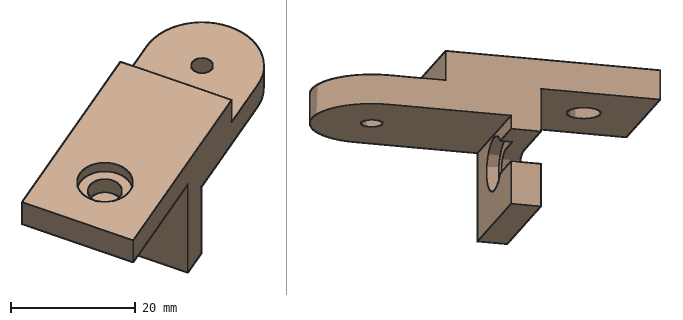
import cadquery as cq

width = 20.0
length = 55.5
height = 25.0
plate_thickness = 5.0
end_radius = width / 2

upper_length = 35.95
upper_bottom = height - plate_thickness
lower_bottom = upper_bottom - plate_thickness

leg_front = 20.0
leg_back = leg_front + plate_thickness

bolt_diameter = 5.5
counterbore_diameter = 9.0
counterbore_depth = 2.0
bolt_y = 10.0
pivot_diameter = 3.5
pivot_y = length - end_radius
slot_z = 10.0


def box(y_start, y_end, z_start, z_end):
    """Full-width block centred on X = 0."""
    return (
        cq.Workplane("XY")
        .box(width, y_end - y_start, z_end - z_start, centered=(True, False, False))
        .translate((0, y_start, z_start))
    )


def vertical_cylinder(diameter, y, z_start, z_end):
    return (
        cq.Workplane("XY", origin=(0, y, z_start))
        .circle(diameter / 2)
        .extrude(z_end - z_start)
    )


def leg_slot():
    """Slot open at the -X side, with its round end centred on X = 0."""
    radius = bolt_diameter / 2
    return (
        cq.Workplane("XZ", origin=(0, leg_back, slot_z))
        .moveTo(-width / 2, -radius)
        .lineTo(0, -radius)
        .threePointArc((radius, 0), (0, radius))
        .lineTo(-width / 2, radius)
        .close()
        .extrude(plate_thickness)
    )


def leg_counterbore():
    """Counterbore around the slot's round end, sunk into the leg's +Y face."""
    return (
        cq.Workplane("XZ", origin=(0, leg_back, slot_z))
        .circle(counterbore_diameter / 2)
        .extrude(counterbore_depth)
    )


upper_plate = box(0, upper_length, upper_bottom, height)
lower_plate = box(leg_front, pivot_y, lower_bottom, upper_bottom)
rounded_end = vertical_cylinder(width, pivot_y, lower_bottom, upper_bottom)
leg = box(leg_front, leg_back, 0, lower_bottom)

bolt_hole = vertical_cylinder(bolt_diameter, bolt_y, upper_bottom, height)
counterbore = vertical_cylinder(counterbore_diameter, bolt_y, height - counterbore_depth, height)
pivot_hole = vertical_cylinder(pivot_diameter, pivot_y, lower_bottom, upper_bottom)

result = (
    upper_plate.union(lower_plate)
    .union(rounded_end)
    .union(leg)
    .cut(bolt_hole)
    .cut(counterbore)
    .cut(pivot_hole)
    .cut(leg_slot())
    .cut(leg_counterbore())
)